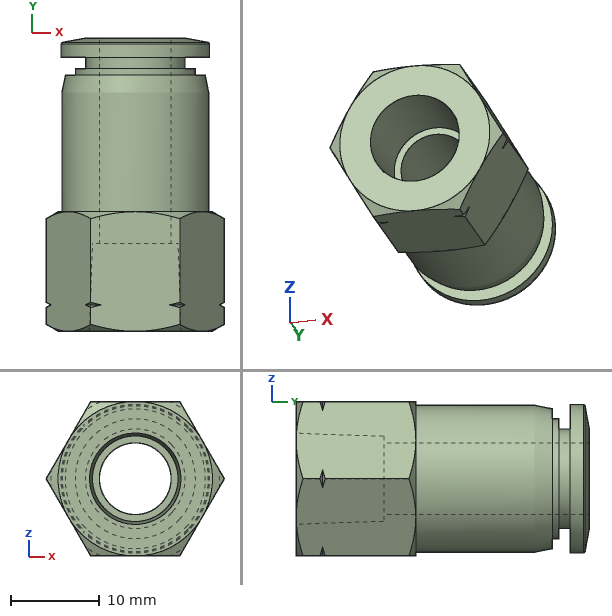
import cadquery as cq
import math

total_length = 33.1

hex_across_flats = 17.45
hex_length = 13.5
hex_chamfer_angle = 30.0
groove_position = 2.98
groove_width = 0.6
groove_depth = 0.53

body_radius = 8.3
body_end = 28.93
body_taper_length = 2.0
body_tip_radius = 7.9

ring_radius = 6.8
ring_length = 0.73
neck_radius = 5.63
neck_length = 1.3
flange_radius = 8.4
flange_face_radius = 5.75
flange_cone_height = 0.45
flange_edge_break = 0.15

bore_mouth_radius = 5.15
bore_end_radius = 4.83
bore_depth = 9.93
through_radius = 4.05

hex_inner_radius = hex_across_flats / 2
hex_corner_radius = hex_inner_radius / math.cos(math.radians(30))
hex_chamfer_height = (hex_corner_radius - hex_inner_radius) * math.tan(math.radians(hex_chamfer_angle))
ring_end = body_end + ring_length
neck_end = ring_end + neck_length
flange_cone_start = total_length - flange_cone_height


def revolve_about_y(points):
    """Revolve a closed (radius, Y) profile a full turn about the Y axis."""
    return cq.Workplane("XY").polyline(points).close().revolve(360, (0, 0, 0), (0, 1, 0))


def make_hex():
    """Hexagon with corners on X, its corners coned at both ends and notched by a V groove."""
    prism = (
        cq.Workplane("XZ")
        .polygon(6, 2 * hex_corner_radius)
        .extrude(-hex_length)
    )
    corner_envelope = revolve_about_y([
        (0, 0),
        (hex_inner_radius, 0),
        (hex_corner_radius, hex_chamfer_height),
        (hex_corner_radius, groove_position - groove_width / 2),
        (hex_corner_radius - groove_depth, groove_position),
        (hex_corner_radius, groove_position + groove_width / 2),
        (hex_corner_radius, hex_length - hex_chamfer_height),
        (hex_inner_radius, hex_length),
        (0, hex_length),
    ])
    return prism.intersect(corner_envelope)


def make_round_body():
    """Body, ring, neck and flanged release collar, turned as one profile."""
    return revolve_about_y([
        (0, hex_length),
        (body_radius, hex_length),
        (body_radius, body_end - body_taper_length),
        (body_tip_radius, body_end),
        (ring_radius, body_end),
        (ring_radius, ring_end),
        (neck_radius, ring_end),
        (neck_radius, neck_end),
        (flange_radius, neck_end),
        (flange_radius, flange_cone_start - flange_edge_break),
        (flange_radius - flange_edge_break, flange_cone_start),
        (flange_face_radius, total_length),
        (0, total_length),
    ])


def make_bore():
    """Tapered threaded-end bore followed by the straight through hole."""
    return revolve_about_y([
        (0, 0),
        (bore_mouth_radius, 0),
        (bore_end_radius, bore_depth),
        (through_radius, bore_depth),
        (through_radius, total_length),
        (0, total_length),
    ])


result = make_hex().union(make_round_body()).cut(make_bore())